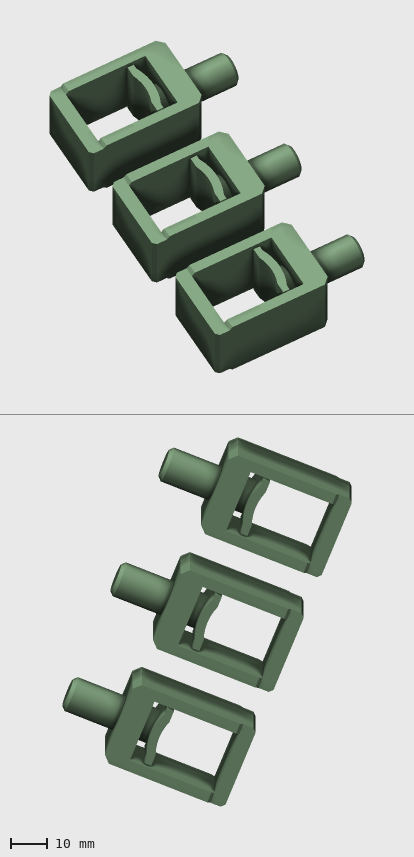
import cadquery as cq

clamp_count = 3
row_length = 94.0

frame_width = 24.0
frame_length = 36.0
frame_height = 20.0
side_wall = 3.0
front_wall = 4.0
back_wall = 7.0
back_chamfer = 2.0
front_chamfer = 1.0

step_depth = 0.9
slope_length = 0.9

screw_diameter = 10.0
screw_projection = 15.0
screw_chamfer = 1.0

plate_width = 16.5
plate_height = 19.0
plate_edge_thickness = 2.0
plate_drop = 6.0
front_arch_width = 10.1
front_arch_rise = 0.9
back_arch_width = 13.6
back_arch_rise = 1.5

clamp_pitch = (row_length - frame_width) / (clamp_count - 1)
opening_width = frame_width - 2 * side_wall
opening_length = frame_length - front_wall - back_wall
opening_back = frame_length - back_wall
plate_front = opening_back - plate_drop
plate_back = plate_front + plate_edge_thickness
plate_crown_front = plate_front + front_arch_rise
screw_tip = frame_length + screw_projection


def make_frame():
    """Chamfered block with a full-height opening and a lowered front end."""
    block = cq.Workplane("XY").box(frame_width, frame_length, frame_height, centered=(True, False, True))
    block = block.edges("|Z and >Y").chamfer(back_chamfer)
    block = block.edges("|Z and <Y").chamfer(front_chamfer)
    opening = (
        cq.Workplane("XY")
        .box(opening_width, opening_length, frame_height, centered=(True, False, True))
        .translate((0, front_wall, 0))
    )
    return block.cut(opening).intersect(make_step_envelope())


def make_step_envelope():
    """Side profile of the frame in YZ, extruded across its width."""
    full_half = frame_height / 2
    low_half = full_half - step_depth
    slope_end = front_wall + slope_length
    return (
        cq.Workplane("YZ")
        .moveTo(0, -low_half)
        .lineTo(front_wall, -low_half)
        .lineTo(slope_end, -full_half)
        .lineTo(frame_length, -full_half)
        .lineTo(frame_length, full_half)
        .lineTo(slope_end, full_half)
        .lineTo(front_wall, low_half)
        .lineTo(0, low_half)
        .close()
        .extrude(frame_width / 2, both=True)
    )


def make_screw():
    """Plain shank along Y, from the plate to a chamfered tip."""
    return (
        cq.Workplane("XZ", origin=(0, screw_tip, 0))
        .circle(screw_diameter / 2)
        .extrude(screw_tip - plate_back)
        .faces(">Y")
        .chamfer(screw_chamfer)
    )


def make_plate():
    """Pressure plate with flat edges and an arched middle."""
    half_width = plate_width / 2
    return (
        cq.Workplane("XY")
        .moveTo(-half_width, plate_front)
        .lineTo(-front_arch_width / 2, plate_front)
        .threePointArc((0, plate_crown_front), (front_arch_width / 2, plate_front))
        .lineTo(half_width, plate_front)
        .lineTo(half_width, plate_back)
        .lineTo(back_arch_width / 2, plate_back)
        .threePointArc((0, plate_back + back_arch_rise), (-back_arch_width / 2, plate_back))
        .lineTo(-half_width, plate_back)
        .close()
        .extrude(plate_height / 2, both=True)
    )


def make_clamp():
    """Frame, screw and pressure plate as one solid."""
    return make_frame().union(make_screw()).union(make_plate())


clamp = make_clamp()
clamps = []
for index in range(clamp_count):
    offset = (index - (clamp_count - 1) / 2) * clamp_pitch
    clamps.append(clamp.translate((offset, 0, 0)).val())

result = cq.Compound.makeCompound(clamps)